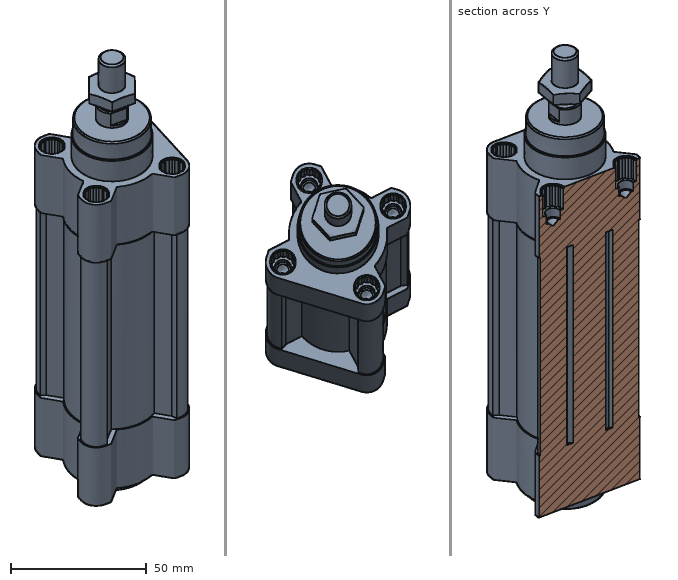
import cadquery as cq
import math

hexagon_sides = 6

rear_face_z = 4.0
rear_head_top_z = 32.0
front_head_bottom_z = 120.4
front_face_z = 148.0
collar_top_z = 158.2
cap_top_z = 166.2
rod_shoulder_z = 173.0
nut_bottom_z = 177.2
rod_tip_z = 195.1

head_width = 45.0
hole_offset = 16.2
head_flank_offset = 9.0
head_core_radius = 18.1
head_root_fillet = 0.5
head_lug_fillet = 1.0

barrel_width = 44.0
barrel_core_radius = 17.8
barrel_flank_offset = 6.0
barrel_lip_x = 14.8
barrel_flank_x = 13.9

boss_diameter = 30.0
boss_chamfer = 0.5
collar_chamfer = 0.4
cap_bottom_diameter = 29.0
cap_top_diameter = 28.9
cap_chamfer = 0.5

recess_diameter = 9.5
recess_depth = 0.5
socket_diameter = 9.0
socket_depth = 9.8
screw_bore_diameter = 6.0
screw_bore_depth = 13.7
screw_tip_diameter = 4.5
screw_tip_depth = 15.6

rod_diameter = 12.0
rod_flat_width = 10.0
rod_flat_bottom_z = 167.4
thread_diameter = 10.0
thread_chamfer = 0.8
neck_diameter = 8.2
neck_bottom_z = 174.0
neck_top_diameter = 9.0
neck_top_z = 175.0
nut_width = 17.0
nut_height = 4.9
nut_chamfer_height = 0.4


def mirrored(points):
    """Reflect points across the line y = x and reverse their order."""
    return [(y, x) for x, y in reversed(points)]


def lug_outline(flank_points, half_width):
    """Closed outline from the axis around the (+X, +Y) lug, with a round outer corner.

    flank_points run from the core circle out to the flat beside the lug.
    """
    corner_radius = half_width - hole_offset
    corner_middle = hole_offset + corner_radius * math.sqrt(0.5)
    outline = cq.Workplane("XY").moveTo(0, 0)
    for point in flank_points:
        outline = outline.lineTo(*point)
    outline = outline.lineTo(hole_offset, half_width)
    outline = outline.threePointArc((corner_middle, corner_middle), (half_width, hole_offset))
    for point in mirrored(flank_points):
        outline = outline.lineTo(*point)
    return outline.close()


def circle_crossing(radius, offset):
    """Point where the line y = x + offset leaves a circle about the axis."""
    x = (math.sqrt(2 * radius**2 - offset**2) - offset) / 2
    return x, x + offset


def four_lugs(core_radius, flank_points, half_width, bottom_z, height):
    """Round core with one lug in each quadrant."""
    lug = lug_outline(flank_points, half_width).extrude(height)
    body = cq.Workplane("XY").circle(core_radius).extrude(height)
    for quarter in range(4):
        body = body.union(lug.rotate((0, 0, 0), (0, 0, 1), 90 * quarter))
    return body.translate((0, 0, bottom_z))


def side_edges(point, z):
    """Select the upright edges at (x, y) and its copies on the -Y, +X and -X sides."""
    x, y = point
    selector = None
    for edge_x, edge_y in [(x, -y), (-x, -y), (y, x), (-y, x), (y, -x), (-y, -x)]:
        nearest = cq.selectors.NearestToPointSelector((edge_x, edge_y, z))
        selector = nearest if selector is None else selector + nearest
    return selector


def make_head(bottom_z, top_z):
    """End head: four lugs, with the space between the two +Y lugs filled flush."""
    height = top_z - bottom_z
    half_width = head_width / 2
    flank_points = [
        circle_crossing(head_core_radius, head_flank_offset),
        (half_width - head_flank_offset, half_width),
    ]
    head = four_lugs(head_core_radius, flank_points, half_width, bottom_z, height)
    root, lug_corner = flank_points
    head = head.edges(side_edges(root, bottom_z + height / 2)).fillet(head_root_fillet)
    head = head.edges(side_edges(lug_corner, bottom_z + height / 2)).fillet(head_lug_fillet)
    filler = (
        cq.Workplane("XY", origin=(0, half_width / 2, bottom_z))
        .rect(2 * hole_offset, half_width)
        .extrude(height)
    )
    return head.union(filler)


def make_barrel():
    half_width = barrel_width / 2
    flank_points = [
        circle_crossing(barrel_core_radius, barrel_flank_offset),
        (barrel_flank_x, barrel_flank_x + barrel_flank_offset),
        (barrel_lip_x, half_width),
    ]
    height = front_head_bottom_z - rear_head_top_z
    return four_lugs(barrel_core_radius, flank_points, half_width, rear_head_top_z, height)


def revolved(profile):
    """Turn (radius, z) points about the Z axis."""
    return cq.Workplane("XZ").polyline(profile).close().revolve(360, (0, 0), (0, 1))


def make_rear_boss():
    radius = boss_diameter / 2
    boss = cq.Workplane("XY").circle(radius).extrude(rear_face_z)
    return boss.faces("<Z").chamfer(boss_chamfer)


def make_front_collar():
    """Boss on the front head, carrying the slightly tapered cap."""
    boss_radius = boss_diameter / 2
    return revolved([
        (0, front_face_z),
        (boss_radius, front_face_z),
        (boss_radius, collar_top_z - collar_chamfer),
        (boss_radius - collar_chamfer, collar_top_z),
        (cap_bottom_diameter / 2, collar_top_z),
        (cap_top_diameter / 2, cap_top_z - cap_chamfer),
        (cap_top_diameter / 2 - cap_chamfer, cap_top_z),
        (0, cap_top_z),
    ])


def make_screw_recess():
    """Round recess, twelve-point socket and drilled bore going down from the front face."""
    socket_bottom_z = front_face_z - socket_depth
    bore_bottom_z = front_face_z - screw_bore_depth
    recess = (
        cq.Workplane("XY", origin=(0, 0, front_face_z))
        .circle(recess_diameter / 2)
        .extrude(-recess_depth)
    )
    hexagon = (
        cq.Workplane("XY", origin=(0, 0, socket_bottom_z))
        .polygon(hexagon_sides, socket_diameter)
        .extrude(socket_depth)
    )
    bore = revolved([
        (0, socket_bottom_z),
        (screw_bore_diameter / 2, socket_bottom_z),
        (screw_bore_diameter / 2, bore_bottom_z),
        (screw_tip_diameter / 2, bore_bottom_z),
        (0, front_face_z - screw_tip_depth),
    ])
    turned_hexagon = hexagon.rotate((0, 0, 0), (0, 0, 1), 180 / hexagon_sides)
    return recess.union(hexagon).union(turned_hexagon).union(bore)


def make_housing():
    housing = make_barrel()
    housing = housing.union(make_head(rear_face_z, rear_head_top_z))
    housing = housing.union(make_head(front_head_bottom_z, front_face_z))
    housing = housing.union(make_rear_boss())
    housing = housing.union(make_front_collar())
    recess = make_screw_recess()
    for x in (-hole_offset, hole_offset):
        for y in (-hole_offset, hole_offset):
            housing = housing.cut(recess.translate((x, y, 0)))
    rod_hole = (
        cq.Workplane("XY", origin=(0, 0, front_face_z))
        .circle(rod_diameter / 2)
        .extrude(cap_top_z - front_face_z)
    )
    return housing.cut(rod_hole)


def make_piston_rod():
    rod_radius = rod_diameter / 2
    thread_radius = thread_diameter / 2
    rod = revolved([
        (0, front_face_z),
        (rod_radius, front_face_z),
        (rod_radius, rod_shoulder_z),
        (thread_radius, rod_shoulder_z),
        (neck_diameter / 2, neck_bottom_z),
        (neck_diameter / 2, neck_top_z),
        (neck_top_diameter / 2, neck_top_z),
        (thread_radius, nut_bottom_z),
        (thread_radius, rod_tip_z - thread_chamfer),
        (thread_radius - thread_chamfer, rod_tip_z),
        (0, rod_tip_z),
    ])
    flat_height = rod_shoulder_z - rod_flat_bottom_z
    for side in (-1, 1):
        flat = (
            cq.Workplane("XY", origin=(side * rod_flat_width, 0, rod_flat_bottom_z))
            .rect(rod_flat_width, rod_diameter)
            .extrude(flat_height)
        )
        rod = rod.cut(flat)
    return rod


def make_nut():
    """Hexagon nut with its flats facing +/-X."""
    across_corners = nut_width / math.cos(math.pi / hexagon_sides)
    nut = (
        cq.Workplane("XY", origin=(0, 0, nut_bottom_z))
        .polygon(hexagon_sides, across_corners)
        .circle(thread_diameter / 2)
        .extrude(nut_height)
    )
    nut = nut.rotate((0, 0, 0), (0, 0, 1), 90)
    nut_top_z = nut_bottom_z + nut_height
    corner_radius = across_corners / 2
    blank = revolved([
        (0, nut_bottom_z),
        (corner_radius, nut_bottom_z),
        (corner_radius, nut_top_z - nut_chamfer_height),
        (nut_width / 2, nut_top_z),
        (0, nut_top_z),
    ])
    return nut.intersect(blank)


housing = make_housing()
piston_rod = make_piston_rod()
nut = make_nut()
result = cq.Compound.makeCompound([housing.val(), piston_rod.val(), nut.val()])